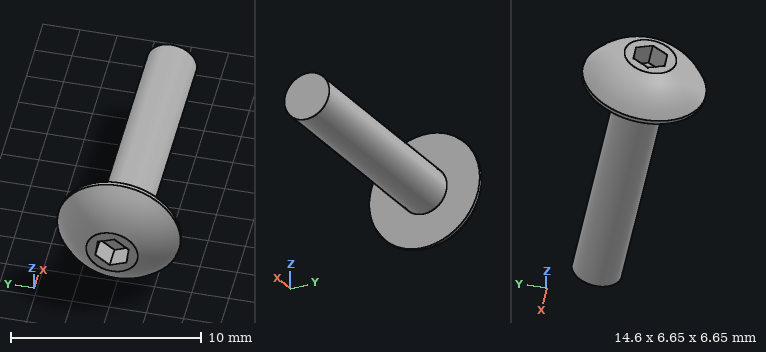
import cadquery as cq
import math

total_length = 14.55
head_diameter = 6.65
head_height = 1.86
rim_thickness = 0.22
face_diameter = 2.78
shank_diameter = 2.7

socket_across_flats = 1.69
socket_depth = 1.16
socket_turn = 7.5

head_radius = head_diameter / 2
face_radius = face_diameter / 2
dome_height = head_height - rim_thickness

dome_center = (dome_height**2 + head_radius**2 - face_radius**2) / (2 * dome_height)
dome_radius = math.hypot(dome_center, face_radius)
dome_mid_x = dome_height / 2
dome_mid_radius = math.sqrt(dome_radius**2 - (dome_center - dome_mid_x) ** 2)


def make_head():
    """Domed head with a flat front face and a thin cylindrical rim."""
    profile = (
        cq.Workplane("XY")
        .lineTo(0, face_radius)
        .threePointArc((dome_mid_x, dome_mid_radius), (dome_height, head_radius))
        .lineTo(head_height, head_radius)
        .lineTo(head_height, 0)
        .close()
    )
    return profile.revolve(360, (0, 0, 0), (1, 0, 0))


def make_shank():
    """Plain cylinder from the underside of the head to the tip."""
    return (
        cq.Workplane("YZ", origin=(head_height, 0, 0))
        .circle(shank_diameter / 2)
        .extrude(total_length - head_height)
    )


def make_socket():
    """Hexagonal prism sunk along +X from the front face."""
    across_corners = socket_across_flats / math.cos(math.pi / 6)
    return (
        cq.Workplane("YZ")
        .polygon(6, across_corners)
        .extrude(socket_depth)
        .rotate((0, 0, 0), (1, 0, 0), 90 + socket_turn)
    )


result = make_head().union(make_shank()).cut(make_socket())